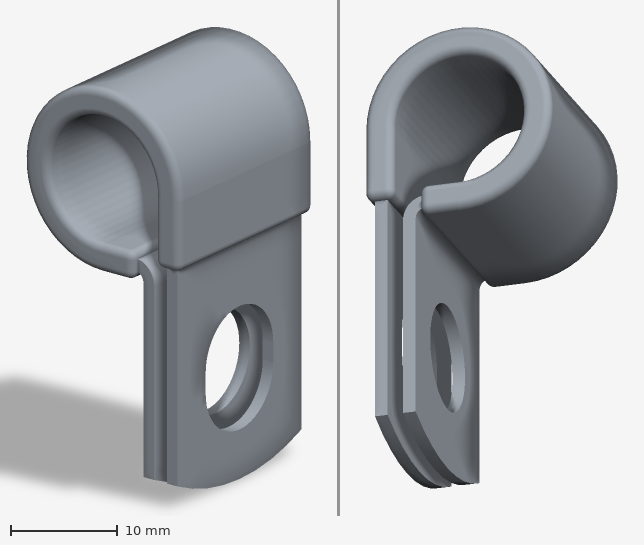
import cadquery as cq
import math

total_height = 40.1
cushion_length = 20.65
loop_diameter = 18.32
outer_radius = loop_diameter / 2

cushion_thickness = 2.8
edge_radius = 0.75
side_run = 7.18
bottom_run = 3.73

strap_thickness = 1.25
strap_width = 19.0
bend_outer_radius = 2.25
bent_leg_outer_x = 5.6
tip_rise = 2.12
hole_diameter = 10.35
hole_depth = 19.8
slot_travel = 2.0

inner_radius = outer_radius - cushion_thickness
mid_radius = outer_radius - cushion_thickness / 2
leg_bottom = outer_radius - total_height


def extrude_y(profile, length):
    """Extrude an XZ profile symmetrically about Y = 0."""
    return profile.extrude(length / 2, both=True)


def make_cushion():
    diagonal = math.sqrt(0.5)
    profile = (
        cq.Workplane("XZ")
        .moveTo(outer_radius, -side_run)
        .lineTo(outer_radius, 0)
        .threePointArc((-outer_radius * diagonal, outer_radius * diagonal), (0, -outer_radius))
        .lineTo(bottom_run, -outer_radius)
        .lineTo(bottom_run, -inner_radius)
        .lineTo(0, -inner_radius)
        .threePointArc((-inner_radius * diagonal, inner_radius * diagonal), (inner_radius, 0))
        .lineTo(inner_radius, -side_run)
        .close()
    )
    body = extrude_y(profile, cushion_length)
    side_end = cq.NearestToPointSelector((mid_radius, 0, -side_run))
    bottom_end = cq.NearestToPointSelector((bottom_run, 0, -mid_radius))
    rims = body.faces("|Y").edges()
    end_edges = body.faces(side_end).edges("|Y").add(body.faces(bottom_end).edges("|Y"))
    return rims.add(end_edges).fillet(edge_radius)


def make_straight_leg():
    height = -side_run / 2 - leg_bottom
    return (
        cq.Workplane("XY", origin=(mid_radius, 0, leg_bottom))
        .rect(strap_thickness, strap_width)
        .extrude(height)
    )


def make_bent_leg():
    start_x = bottom_run / 2
    top_z = -mid_radius + strap_thickness / 2
    bend_inner_radius = bend_outer_radius - strap_thickness
    bend_x = bent_leg_outer_x - bend_outer_radius
    bend_z = top_z - bend_outer_radius
    profile = (
        cq.Workplane("XZ")
        .moveTo(start_x, top_z)
        .lineTo(bend_x, top_z)
        .radiusArc((bent_leg_outer_x, bend_z), bend_outer_radius)
        .lineTo(bent_leg_outer_x, leg_bottom)
        .lineTo(bent_leg_outer_x - strap_thickness, leg_bottom)
        .lineTo(bent_leg_outer_x - strap_thickness, bend_z)
        .radiusArc((bend_x, bend_z + bend_inner_radius), -bend_inner_radius)
        .lineTo(start_x, bend_z + bend_inner_radius)
        .close()
    )
    return extrude_y(profile, strap_width)


def make_leg_outline():
    """Side outline shared by both legs: straight sides and rounded tip."""
    half_width = strap_width / 2
    tip_corner_z = leg_bottom + tip_rise
    return (
        cq.Workplane("YZ")
        .moveTo(-half_width, 0)
        .lineTo(-half_width, tip_corner_z)
        .threePointArc((0, leg_bottom), (half_width, tip_corner_z))
        .lineTo(half_width, 0)
        .close()
        .extrude(outer_radius)
    )


def make_bolt_opening():
    """Round hole through the bent leg, vertical slot through the straight leg."""
    slot_start_x = mid_radius - strap_thickness / 2
    hole = (
        cq.Workplane("YZ")
        .center(0, -hole_depth)
        .circle(hole_diameter / 2)
        .extrude(slot_start_x)
    )
    slot = (
        cq.Workplane("YZ", origin=(slot_start_x, 0, 0))
        .center(0, -hole_depth)
        .slot2D(hole_diameter + slot_travel, hole_diameter, 90)
        .extrude(strap_thickness)
    )
    return hole.union(slot)


legs = make_straight_leg().union(make_bent_leg()).intersect(make_leg_outline()).cut(make_bolt_opening())
result = make_cushion().union(legs)